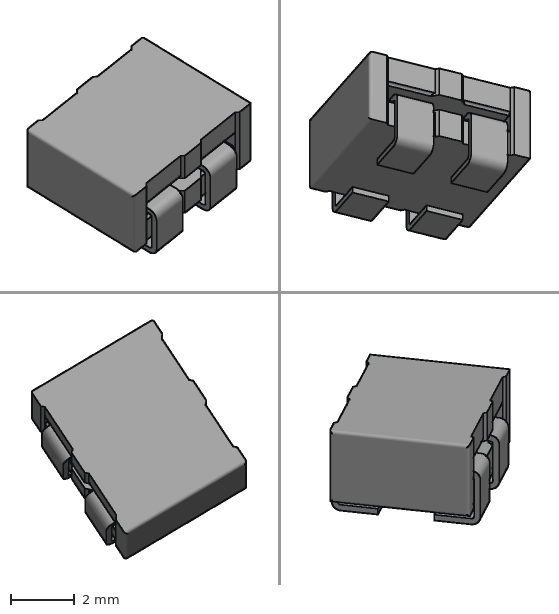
import cadquery as cq

overall_width = 4.8
body_length = 5.6
overall_height = 3.21

body_width = 4.5
body_height = 2.505
body_bottom = overall_height - body_height
end_edge_radius = 0.1

recess_depth = 0.095
recess_inner_end = 0.48
recess_outer_end = 2.115
recess_edge_radius = 0.095

window_bottom = 1.68
window_top = 2.23
window_length = 2 * recess_outer_end

clip_thickness = 0.21
clip_width = 1.255
clip_spacing = 2.56
clip_outer_radius = 0.3
clip_inner_radius = clip_outer_radius - clip_thickness
clip_height = window_bottom + clip_thickness
foot_gap = 1.81

recess_floor = body_width / 2 - recess_depth


def recess_cutter(side, end):
    """Full-height side recess with 45 degree end walls."""
    face = side * body_width / 2
    floor = side * recess_floor
    return (
        cq.Workplane("XY")
        .workplane(offset=body_bottom)
        .polyline([
            (face, end * (recess_inner_end - recess_depth)),
            (floor, end * recess_inner_end),
            (floor, end * recess_outer_end),
            (face, end * (recess_outer_end + recess_depth)),
        ])
        .close()
        .extrude(body_height)
    )


def make_core():
    core = cq.Workplane("XY").box(
        body_width, body_length, body_height, centered=(True, True, False)
    )
    core = core.translate((0, 0, body_bottom))
    core = core.faces("<Y or >Y").edges().fillet(end_edge_radius)
    for side in (-1, 1):
        for end in (-1, 1):
            core = core.cut(recess_cutter(side, end))
    window = cq.Workplane("XY").box(
        body_width, window_length, window_top - window_bottom, centered=(True, True, False)
    )
    core = core.cut(window.translate((0, 0, window_bottom)))
    return round_window_edges(core)


def edge_rounding_cutter(side, end, height, inward):
    """Waste outside a rounded window edge; inward is the Z direction into the bar."""
    radius = recess_edge_radius
    floor = side * recess_floor
    depth_line = floor - side * radius
    waste = (
        cq.Workplane("XZ")
        .moveTo(floor, height)
        .lineTo(depth_line, height)
        .radiusArc((floor, height + inward * radius), side * inward * radius)
        .close()
        .extrude(recess_outer_end, both=True)
    )
    extent = (
        cq.Workplane("XY")
        .workplane(offset=height - radius)
        .polyline([
            (floor, end * recess_inner_end),
            (depth_line, end * (recess_inner_end + radius)),
            (depth_line, end * recess_outer_end),
            (floor, end * recess_outer_end),
        ])
        .close()
        .extrude(2 * radius)
    )
    return waste.intersect(extent)


def round_window_edges(core):
    """Round the window edges that lie along the recess floors."""
    for side in (-1, 1):
        for end in (-1, 1):
            core = core.cut(edge_rounding_cutter(side, end, window_bottom, -1))
            core = core.cut(edge_rounding_cutter(side, end, window_top, 1))
    return core


def make_clip(y_centre):
    """Bent strip: closed across the top, open between the two feet."""
    outer = cq.Workplane("XY").box(
        overall_width, clip_width, clip_height, centered=(True, True, False)
    )
    inner = cq.Workplane("XY").box(
        overall_width - 2 * clip_thickness,
        clip_width,
        clip_height - 2 * clip_thickness,
        centered=(True, True, False),
    )
    inner = inner.translate((0, 0, clip_thickness))
    gap = cq.Workplane("XY").box(
        foot_gap, clip_width, clip_thickness, centered=(True, True, False)
    )
    outer = outer.edges("|Y").fillet(clip_outer_radius)
    inner = inner.edges("|Y").fillet(clip_inner_radius)
    return outer.cut(inner).cut(gap).translate((0, y_centre, 0))


result = make_core()
for clip_end in (-1, 1):
    result = result.union(make_clip(clip_end * clip_spacing / 2))